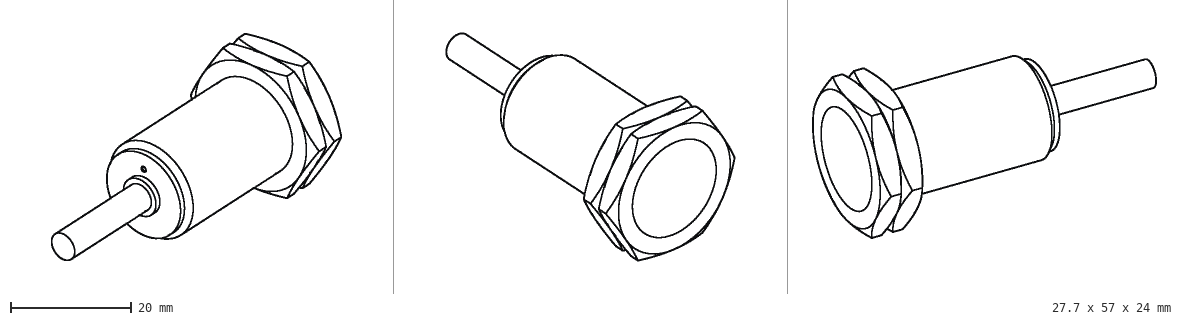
import cadquery as cq
import math

total_length = 57.0
cable_length = 20.0
shoulder_length = 1.0
nut_thickness = 4.0
nut_count = 2

barrel_diameter = 18.0
end_step_diameter = barrel_diameter - 2 * shoulder_length
collar_diameter = 7.0
cable_diameter = 5.0
nut_width_across_flats = 24.0
nut_chamfer_angle = 30.0

indicator_diameter = 1.0
indicator_height = 5.0

cable_end_y = 0.0
collar_face_y = cable_end_y + cable_length
end_face_y = collar_face_y + shoulder_length
chamfer_start_y = end_face_y + shoulder_length
barrel_start_y = chamfer_start_y + shoulder_length
back_y = cable_end_y + total_length


def revolve_about_y(profile):
    """Revolve a closed (radius, y) outline about the Y axis."""
    return cq.Workplane("XY").polyline(profile).close().revolve(360, (0, 0, 0), (0, 1, 0))


def make_sensor():
    """Barrel, chamfered end, collar and cable turned as one solid, with an indicator light."""
    barrel_radius = barrel_diameter / 2
    end_step_radius = end_step_diameter / 2
    collar_radius = collar_diameter / 2
    cable_radius = cable_diameter / 2
    sensor = revolve_about_y([
        (0, cable_end_y),
        (cable_radius, cable_end_y),
        (cable_radius, collar_face_y),
        (collar_radius, collar_face_y),
        (collar_radius, end_face_y),
        (end_step_radius, end_face_y),
        (end_step_radius, chamfer_start_y),
        (barrel_radius, barrel_start_y),
        (barrel_radius, back_y),
        (0, back_y),
    ])
    return add_indicator(sensor)


def add_indicator(sensor):
    """Sink a domed light into the end face, with the top of the dome flush with the face."""
    radius = indicator_diameter / 2
    pocket_floor_y = end_face_y + radius
    pocket = (
        cq.Workplane("XZ", origin=(0, pocket_floor_y, indicator_height))
        .circle(radius)
        .extrude(radius)
    )
    dome = cq.Workplane("XY").sphere(radius).translate((0, pocket_floor_y, indicator_height))
    return sensor.cut(pocket).union(dome)


def make_nut(front_y):
    """Hexagon nut with both faces chamfered, starting at front_y."""
    corner_radius = nut_width_across_flats / math.sqrt(3)
    face_radius = nut_width_across_flats / 2
    bore_radius = barrel_diameter / 2
    chamfer_depth = (corner_radius - face_radius) * math.tan(math.radians(nut_chamfer_angle))
    rear_y = front_y + nut_thickness

    hexagon = (
        cq.Workplane("XZ", origin=(0, front_y, 0))
        .polygon(6, 2 * corner_radius)
        .extrude(-nut_thickness)
    )
    chamfered_ring = revolve_about_y([
        (bore_radius, front_y),
        (face_radius, front_y),
        (corner_radius, front_y + chamfer_depth),
        (corner_radius, rear_y - chamfer_depth),
        (face_radius, rear_y),
        (bore_radius, rear_y),
    ])
    return hexagon.intersect(chamfered_ring)


sensor = make_sensor()

nuts = []
for position in range(nut_count):
    nuts.append(make_nut(back_y - (position + 1) * nut_thickness).solids().val())

result = cq.Compound.makeCompound([sensor.solids().val(), *nuts])